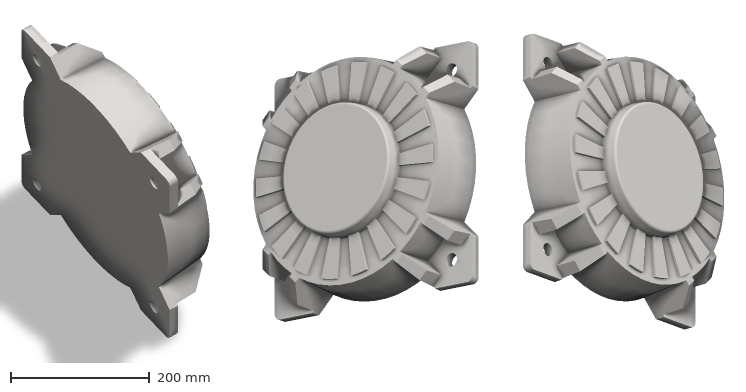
import cadquery as cq
import math

side = 360.0
flange_thickness = 14.8
corner_radius = 9.5
ear_half_width = 49.5
hole_spacing = 283.5
hole_diameter = 19.8

body_radius = 175.5
body_height = 80.3
draft_angle = 5.0

rib_reach = 202.5
rib_shoulder_height = 50.5
pocket_half_width = 27.0
pocket_floor_radius = 168.5

pad_count = 18
pad_angle = 10.0
pad_height = 5.0
pad_outer_radius = 160.2

boss_base_radius = 100.0
boss_draft_angle = 8.0
boss_edge_radius = 4.0
total_height = 105.0

ear_angles = [45, 135, 225, 315]


def turned(solid, angle):
    """Rotate a solid about the part axis, which is Z during construction."""
    return solid.rotate((0, 0, 0), (0, 0, 1), angle)


def drafted_bar(length, height):
    """Bar along +X from the axis, as wide as an ear, with both flanks drafted."""
    top_half_width = ear_half_width - height * math.tan(math.radians(draft_angle))
    return (
        cq.Workplane("YZ")
        .polyline([
            (-ear_half_width, 0),
            (ear_half_width, 0),
            (top_half_width, height),
            (-top_half_width, height),
        ])
        .close()
        .extrude(length)
    )


def make_flange():
    """Round-cornered square cut down to four diagonal ears with drafted flanks."""
    square = (
        cq.Workplane("XY")
        .rect(side, side)
        .extrude(flange_thickness)
        .edges("|Z")
        .fillet(corner_radius)
    )
    ear = drafted_bar(side, flange_thickness)
    ears = cq.Workplane("XY")
    for angle in ear_angles:
        ears = ears.add(turned(ear, angle))
    return square.intersect(ears.combine())


def make_holes():
    return (
        cq.Workplane("XY")
        .rect(hole_spacing, hole_spacing, forConstruction=True)
        .vertices()
        .circle(hole_diameter / 2)
        .extrude(flange_thickness)
    )


def make_body():
    return cq.Workplane("XY").circle(body_radius).extrude(body_height, taper=draft_angle)


def make_rib_blank():
    """Solid blank for one pair of ribs along +X, with drafted flanks and a sloped top."""
    bar = drafted_bar(rib_reach, body_height)
    slope_run = body_height - rib_shoulder_height
    slope = (
        cq.Workplane("XZ")
        .polyline([
            (rib_reach, rib_shoulder_height),
            (rib_reach, body_height),
            (rib_reach - slope_run, body_height),
        ])
        .close()
        .extrude(ear_half_width, both=True)
    )
    return bar.cut(slope)


def make_pocket():
    """Space between two ribs, from the flange upwards and outside the pocket floor cylinder."""
    depth = body_height - flange_thickness
    start = cq.Workplane("XY").workplane(offset=flange_thickness)
    slot = start.center(rib_reach / 2, 0).rect(rib_reach, 2 * pocket_half_width).extrude(depth)
    core = start.circle(pocket_floor_radius).extrude(depth)
    return slot.cut(core)


def make_pad():
    """One raised sector centred on +X, running from inside the boss to the pad ring edge."""
    half_angle = math.radians(pad_angle / 2)
    x_end = pad_outer_radius * math.cos(half_angle)
    y_end = pad_outer_radius * math.sin(half_angle)
    return (
        cq.Workplane("XY")
        .workplane(offset=body_height)
        .lineTo(x_end, -y_end)
        .threePointArc((pad_outer_radius, 0), (x_end, y_end))
        .close()
        .extrude(pad_height)
    )


def make_boss():
    return (
        cq.Workplane("XY")
        .workplane(offset=body_height)
        .circle(boss_base_radius)
        .extrude(total_height - body_height, taper=boss_draft_angle)
        .faces(">Z")
        .edges()
        .fillet(boss_edge_radius)
    )


part = make_body()
rib_blank = make_rib_blank()
pocket = make_pocket()
for angle in ear_angles:
    part = part.union(turned(rib_blank, angle)).cut(turned(pocket, angle))
part = part.union(make_flange()).cut(make_holes())

raised_top = make_boss()
pad = make_pad()
for index in range(pad_count):
    raised_top = raised_top.union(turned(pad, index * 360 / pad_count))
part = part.union(raised_top)

result = part.rotate((0, 0, 0), (1, 0, 0), -90)